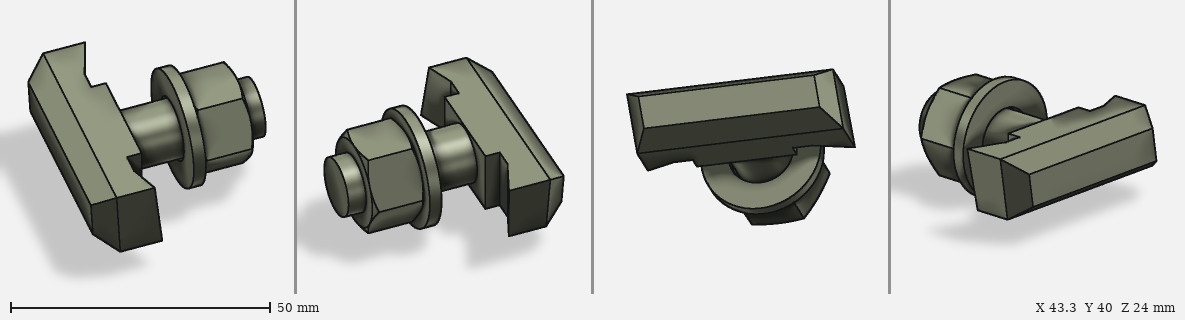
import cadquery as cq
import math


HEAD_WIDTH = 13.0
HEAD_SPAN = 43.3
END_SLANT = 9.0
HEAD_DEPTH = 13.0
NOSE_DEPTH = 4.35
NOSE_INSET = 3.0
SEAT_WIDTH = 20.0
RELIEF_DEPTH = 3.0
RELIEF_FLAT_SPAN = 27.8

STUD_DIAMETER = 12.0
OVERALL_LENGTH = 40.0

WASHER_DIAMETER = 24.0
WASHER_HOLE = 13.0
WASHER_THICKNESS = 2.5
WASHER_START = 23.0

NUT_SIDES = 6
NUT_ACROSS_FLATS = 18.0
NUT_HEIGHT = 10.8
NUT_CHAMFER_ANGLE = 30.0
NUT_START = WASHER_START + WASHER_THICKNESS


def cylinder_along_y(diameter, start, length):
    """Solid cylinder on the common axis, growing towards +Y."""
    plane = cq.Workplane("XZ", origin=(0, start, 0))
    return plane.circle(diameter / 2).extrude(-length)


def head_outline(inset):
    """Corners (X, Z) of the parallelogram, moved in by inset on every side."""
    lean = math.tan(math.radians(END_SLANT))
    end_inset = inset / math.cos(math.radians(END_SLANT))
    half_length = (HEAD_SPAN - HEAD_WIDTH * lean) / 2 - end_inset
    half_width = HEAD_WIDTH / 2 - inset
    shift = half_width * lean
    return [
        (-half_length - shift, half_width),
        (half_length - shift, half_width),
        (half_length + shift, -half_width),
        (-half_length + shift, -half_width),
    ]


def make_head():
    """Parallelogram block with a tapered nose and two relieved shoulders."""
    nose = (
        cq.Workplane("XZ")
        .polyline(head_outline(NOSE_INSET)).close()
        .workplane(offset=-NOSE_DEPTH)
        .polyline(head_outline(0)).close()
        .loft(ruled=True)
    )
    block = (
        cq.Workplane("XZ", origin=(0, NOSE_DEPTH, 0))
        .polyline(head_outline(0)).close()
        .extrude(NOSE_DEPTH - HEAD_DEPTH)
    )
    head = nose.union(block)
    for side in (-1, 1):
        head = head.cut(shoulder_relief(side))
    return head


def shoulder_relief(side):
    """Cutter for one shoulder: flat beside the seat, then ramping up to the head's tip."""
    floor = HEAD_DEPTH - RELIEF_DEPTH
    return (
        cq.Workplane("XY")
        .moveTo(side * SEAT_WIDTH / 2, HEAD_DEPTH)
        .lineTo(side * SEAT_WIDTH / 2, floor)
        .lineTo(side * RELIEF_FLAT_SPAN / 2, floor)
        .lineTo(side * HEAD_SPAN / 2, HEAD_DEPTH)
        .close()
        .extrude(HEAD_WIDTH, both=True)
    )


def make_bolt():
    """T-head and stud, one solid."""
    stud = cylinder_along_y(STUD_DIAMETER, HEAD_DEPTH, OVERALL_LENGTH - HEAD_DEPTH)
    return make_head().union(stud)


def make_washer():
    """Plain ring with clearance around the stud."""
    disc = cylinder_along_y(WASHER_DIAMETER, WASHER_START, WASHER_THICKNESS)
    hole = cylinder_along_y(WASHER_HOLE, WASHER_START, WASHER_THICKNESS)
    return disc.cut(hole)


def make_nut():
    """Hex nut with corners on the X axis, corners chamfered at both faces."""
    corner_diameter = NUT_ACROSS_FLATS / math.cos(math.pi / NUT_SIDES)
    corner_radius = corner_diameter / 2
    face_radius = NUT_ACROSS_FLATS / 2
    chamfer_height = (corner_radius - face_radius) * math.tan(math.radians(NUT_CHAMFER_ANGLE))
    nut_end = NUT_START + NUT_HEIGHT

    prism = (
        cq.Workplane("XZ", origin=(0, NUT_START, 0))
        .polygon(NUT_SIDES, corner_diameter)
        .extrude(-NUT_HEIGHT)
    )
    chamfer_envelope = (
        cq.Workplane("XY")
        .moveTo(0, NUT_START)
        .lineTo(face_radius, NUT_START)
        .lineTo(corner_radius, NUT_START + chamfer_height)
        .lineTo(corner_radius, nut_end - chamfer_height)
        .lineTo(face_radius, nut_end)
        .lineTo(0, nut_end)
        .close()
        .revolve(360, (0, 0, 0), (0, 1, 0))
    )
    bore = cylinder_along_y(STUD_DIAMETER, NUT_START, NUT_HEIGHT)
    return prism.intersect(chamfer_envelope).cut(bore)


bolt = make_bolt()
washer = make_washer()
nut = make_nut()

result = cq.Compound.makeCompound([bolt.val(), washer.val(), nut.val()])